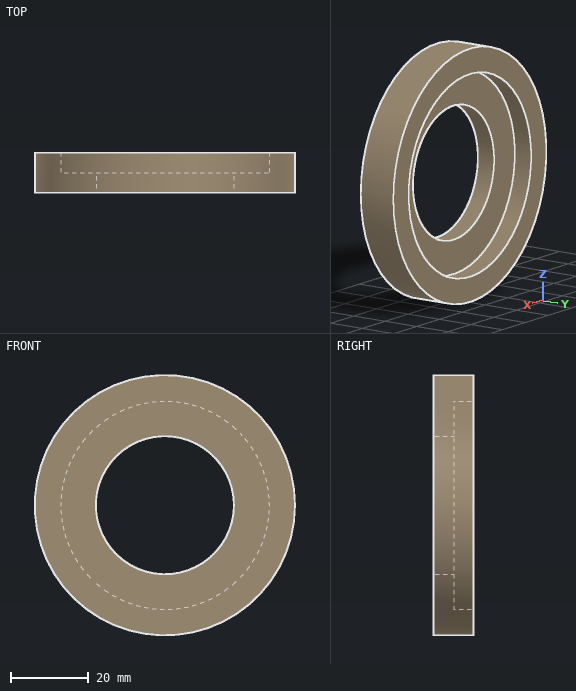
import cadquery as cq

outer_diameter = 67.0
bore_diameter = 35.45
thickness = 10.4
recess_diameter = 53.6
recess_depth = thickness / 2

ring = (
    cq.Workplane("XZ", origin=(0, -thickness / 2, 0))
    .circle(outer_diameter / 2)
    .circle(bore_diameter / 2)
    .extrude(-thickness)
)

recess = (
    cq.Workplane("XZ", origin=(0, thickness / 2, 0))
    .circle(recess_diameter / 2)
    .extrude(recess_depth)
)

result = ring.cut(recess)